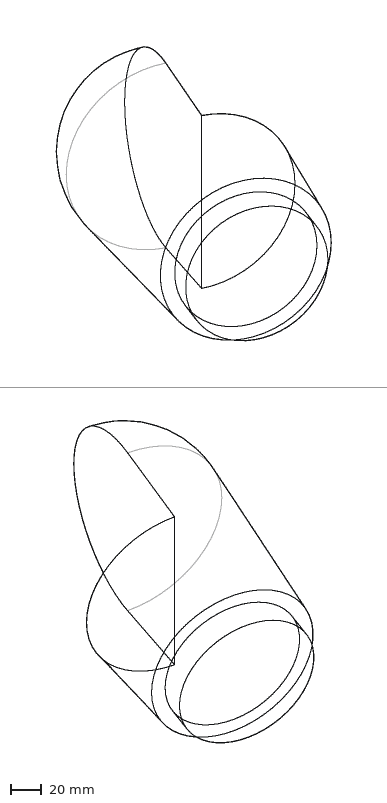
import cadquery as cq
import math

total_length = 240.0
dome_radius = 70.0
shoulder_radius = 60.0
neck_radius = 50.0
neck_length = 20.0
step_position = 140.0

shoulder_position = total_length - neck_length

shoulder_offset = shoulder_position - dome_radius
shoulder_distance = math.hypot(shoulder_offset, shoulder_radius)
tangent_angle = math.atan2(shoulder_radius, shoulder_offset) + math.acos(dome_radius / shoulder_distance)


def dome_point(angle):
    """Point on the dome profile at an angle from the +X axis."""
    return (dome_radius + dome_radius * math.cos(angle), dome_radius * math.sin(angle))


def make_body():
    """Solid of revolution: dome, tapered side, shoulder and neck."""
    arc_middle_angle = (math.pi + tangent_angle) / 2
    profile = (
        cq.Workplane("XY")
        .moveTo(0, 0)
        .threePointArc(dome_point(arc_middle_angle), dome_point(tangent_angle))
        .lineTo(shoulder_position, shoulder_radius)
        .lineTo(shoulder_position, neck_radius)
        .lineTo(total_length, neck_radius)
        .lineTo(total_length, 0)
        .close()
    )
    return profile.revolve(360, (0, 0, 0), (1, 0, 0))


def make_step_cut():
    """Block that removes the +Y half from the dome tip to the step."""
    return cq.Workplane("XY").box(
        step_position, dome_radius, 2 * dome_radius, centered=(False, False, True)
    )


result = make_body().cut(make_step_cut())